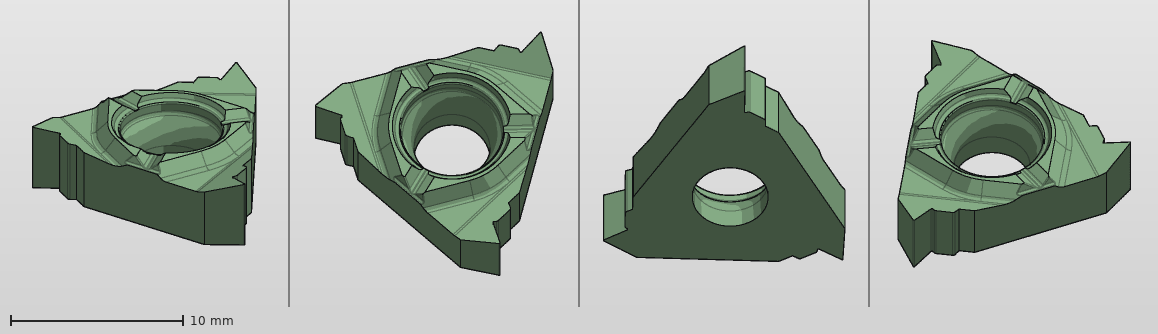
import cadquery as cq
import math


CORNERS = 3
CORNER_ANGLES = [index * 360 / CORNERS for index in range(CORNERS)]

height = 4.2
inscribed_radius = 9.525 / 2

tip_reach = 7.226
tip_x = -3.546
tip_radius = 0.05
flank_angle = 59.1
valley_reach = 5.83
valley_radius = 0.06
valley_exit_angle = 45
crest_reach = 6.03
crest_end_x = -1.363
crest_radius = 0.15
step_reach = 5.62
step_angle = 60

floor_z = 3.4
ramp_start = 4.71
ramp_angle = 15
ramp_blend_radius = 0.53
reach_beyond_body = 9.0

boss_top_radius = 3.68
boss_flank_angle = 46
boss_blend_radius = 0.45
boss_arc_start = 270
boss_arc_end = 240
boss_straight_length = 6.0

groove_direction = 315
groove_offset = -0.06
groove_floor_z = 3.75
groove_floor_width = 0.06
groove_wall_angle = 36
groove_blend_radius = 0.33
groove_inner_end = 2.9
groove_outer_end = 6.0

relief_side_angle = 300
relief_shelf_z = 3.73
relief_shelf_width = 0.08
relief_wall_angle = 60
relief_blend_radius = 0.18
relief_edge_radius = 0.08
relief_edge_min_rise = 0.2
relief_start = -1.5
relief_end = 3.2

bore_radius = 2.2
bell_radius = 2.3
bell_angle = 45
bell_bottom_z = 1.37
throat_blend_radius = 0.36
ledge_z = 3.8
throat_rim_radius = 0.08
ledge_blend_radius = 0.26
lip_angle = 60
lip_radius = 3.46


def tan(angle):
    return math.tan(math.radians(angle))


def sin(angle):
    return math.sin(math.radians(angle))


def cos(angle):
    return math.cos(math.radians(angle))


def polar(radius, angle):
    return (radius * cos(angle), radius * sin(angle))


def rotated(point, angle):
    x, y = point
    return (x * cos(angle) - y * sin(angle), x * sin(angle) + y * cos(angle))


def at_every_corner(solid):
    return [solid.rotate((0, 0, 0), (0, 0, 1), angle) for angle in CORNER_ANGLES]


def corner_vertices():
    """Sharp vertices of the -Y corner, each with the radius that rounds it."""
    half_tip_angle = 90 - flank_angle
    apex_y = -(tip_reach - tip_radius + tip_radius / sin(half_tip_angle))
    flank_start_y = apex_y + (inscribed_radius + tip_x) * tan(flank_angle)
    valley_x = tip_x + (-valley_reach - apex_y) / tan(flank_angle)
    crest_start_x = valley_x + (crest_reach - valley_reach) / tan(valley_exit_angle)
    step_x = crest_end_x + (crest_reach - step_reach) / tan(step_angle)
    side_angle = 30
    step_end_x = (inscribed_radius - step_reach * cos(side_angle)) / sin(side_angle)
    return [
        ((-inscribed_radius, flank_start_y), 0),
        ((tip_x, apex_y), tip_radius),
        ((valley_x, -valley_reach), valley_radius),
        ((crest_start_x, -crest_reach), crest_radius),
        ((crest_end_x, -crest_reach), crest_radius),
        ((step_x, -step_reach), 0),
        ((step_end_x, -step_reach), 0),
    ]


def rounded_outline(vertices):
    """Closed polygon whose vertices carry tangent arcs of the given radii."""
    path = None
    for index, (point, radius) in enumerate(vertices):
        corner = cq.Vector(*point)
        before = cq.Vector(*vertices[index - 1][0])
        after = cq.Vector(*vertices[(index + 1) % len(vertices)][0])
        to_before = (before - corner).normalized()
        to_after = (after - corner).normalized()
        if path is None:
            path = cq.Workplane("XY").moveTo(*point)
        elif radius == 0:
            path = path.lineTo(*point)
        else:
            half_angle = to_before.getAngle(to_after) / 2
            setback = radius / math.tan(half_angle)
            bisector = (to_before + to_after).normalized()
            arc_start = corner + to_before * setback
            arc_middle = corner + bisector * (radius / math.sin(half_angle) - radius)
            arc_end = corner + to_after * setback
            path = path.lineTo(arc_start.x, arc_start.y)
            path = path.threePointArc((arc_middle.x, arc_middle.y), (arc_end.x, arc_end.y))
    return path.close()


def make_body():
    vertices = []
    for angle in CORNER_ANGLES:
        vertices += [(rotated(point, angle), radius) for point, radius in corner_vertices()]
    return rounded_outline(vertices).extrude(height)


def make_corner_cutter():
    """Space above the floor and ramp of the -Y corner, outside the boss."""
    boss_foot = boss_top_radius + (height - floor_z) / tan(boss_flank_angle)
    blend_setback = boss_blend_radius * tan(boss_flank_angle / 2)
    slope_end_r = boss_foot - blend_setback * cos(boss_flank_angle)
    slope_end_z = floor_z + blend_setback * sin(boss_flank_angle)
    floor_start_r = boss_foot + blend_setback

    start = cq.Plane(origin=(boss_straight_length, 0, 0), xDir=(0, -1, 0), normal=(-1, 0, 0))
    section = (
        cq.Workplane(start)
        .moveTo(boss_top_radius, height)
        .lineTo(slope_end_r, slope_end_z)
        .radiusArc((floor_start_r, floor_z), -boss_blend_radius)
        .lineTo(reach_beyond_body, floor_z)
        .lineTo(reach_beyond_body, height)
        .close()
    )
    arc_middle = (boss_arc_start + boss_arc_end) / 2
    arc_end = polar(boss_top_radius, boss_arc_end)
    run_out = polar(boss_straight_length, boss_arc_end - 90)
    path = (
        cq.Workplane("XY", origin=(0, 0, height))
        .moveTo(boss_straight_length, -boss_top_radius)
        .lineTo(0, -boss_top_radius)
        .threePointArc(polar(boss_top_radius, arc_middle), arc_end)
        .lineTo(arc_end[0] + run_out[0], arc_end[1] + run_out[1])
    )
    return section.sweep(path).cut(make_ramp())


def make_ramp():
    """Wedge that stays under the -Y corner and lifts its tooth tip."""
    setback = ramp_blend_radius * tan(ramp_angle / 2)
    blend_end_r = ramp_start + setback * cos(ramp_angle)
    blend_end_z = floor_z + setback * sin(ramp_angle)
    far_z = floor_z + (reach_beyond_body - ramp_start) * tan(ramp_angle)
    side = cq.Plane(origin=(0, 0, 0), xDir=(0, -1, 0), normal=(-1, 0, 0))
    return (
        cq.Workplane(side)
        .moveTo(ramp_start - setback, floor_z)
        .radiusArc((blend_end_r, blend_end_z), -ramp_blend_radius)
        .lineTo(reach_beyond_body, far_z)
        .lineTo(reach_beyond_body, floor_z)
        .close()
        .extrude(reach_beyond_body, both=True)
    )


def make_groove_cutter():
    setback = groove_blend_radius * tan(groove_wall_angle / 2)
    floor_half = groove_floor_width / 2
    blend_half = floor_half + setback * (1 + cos(groove_wall_angle))
    blend_z = groove_floor_z + setback * sin(groove_wall_angle)
    top_half = floor_half + setback + (height - groove_floor_z) / tan(groove_wall_angle)
    left = polar(1, groove_direction + 90)
    start_x, start_y = polar(groove_inner_end, groove_direction)
    along = polar(1, groove_direction)
    plane = cq.Plane(
        origin=(start_x + groove_offset * left[0], start_y + groove_offset * left[1], 0),
        xDir=(left[0], left[1], 0),
        normal=(along[0], along[1], 0),
    )
    return (
        cq.Workplane(plane)
        .moveTo(-floor_half, groove_floor_z)
        .lineTo(floor_half, groove_floor_z)
        .radiusArc((blend_half, blend_z), -groove_blend_radius)
        .lineTo(top_half, height)
        .lineTo(-top_half, height)
        .lineTo(-blend_half, blend_z)
        .radiusArc((-floor_half, groove_floor_z), -groove_blend_radius)
        .close()
        .extrude(groove_outer_end - groove_inner_end)
    )


def make_relief_cutter():
    """Shelf with a blended sloping wall; x of the section runs inward from the side."""
    setback = relief_blend_radius * tan(relief_wall_angle / 2)
    wall_foot = relief_shelf_width + setback
    blend_end = (
        wall_foot + setback * cos(relief_wall_angle),
        relief_shelf_z + setback * sin(relief_wall_angle),
    )
    wall_top = wall_foot + (height - relief_shelf_z) / tan(relief_wall_angle)
    outward = polar(1, relief_side_angle)
    along = polar(1, relief_side_angle + 90)
    plane = cq.Plane(
        origin=(
            inscribed_radius * outward[0] + relief_start * along[0],
            inscribed_radius * outward[1] + relief_start * along[1],
            0,
        ),
        xDir=(-outward[0], -outward[1], 0),
        normal=(along[0], along[1], 0),
    )
    return (
        cq.Workplane(plane)
        .moveTo(0, relief_shelf_z)
        .lineTo(relief_shelf_width, relief_shelf_z)
        .radiusArc(blend_end, -relief_blend_radius)
        .lineTo(wall_top, height)
        .lineTo(0, height)
        .close()
        .extrude(relief_end - relief_start)
    )


def make_hole_cutter():
    """Bore, bell mouth, short throat, ledge and conical lip."""
    bell_top_r = bore_radius + bell_radius * (1 - cos(bell_angle))
    bell_top_z = bell_bottom_z + bell_radius * sin(bell_angle)
    throat_radius = bell_top_r + throat_blend_radius * (1 - cos(bell_angle))
    throat_z = bell_top_z + throat_blend_radius * sin(bell_angle)
    lip_foot_z = ledge_z + ledge_blend_radius * (1 - cos(lip_angle))
    lip_foot_r = lip_radius - (height - lip_foot_z) / tan(lip_angle)
    ledge_end_r = lip_foot_r - ledge_blend_radius * sin(lip_angle)
    return (
        cq.Workplane("XZ")
        .lineTo(bore_radius, 0)
        .lineTo(bore_radius, bell_bottom_z)
        .radiusArc((bell_top_r, bell_top_z), bell_radius)
        .radiusArc((throat_radius, throat_z), -throat_blend_radius)
        .lineTo(throat_radius, ledge_z - throat_rim_radius)
        .radiusArc((throat_radius + throat_rim_radius, ledge_z), throat_rim_radius)
        .lineTo(ledge_end_r, ledge_z)
        .radiusArc((lip_foot_r, lip_foot_z), -ledge_blend_radius)
        .lineTo(lip_radius, height)
        .lineTo(0, height)
        .close()
        .revolve(360, (0, 0, 0), (0, 1, 0))
    )


def relief_wall_edges(part):
    """Rising edges of the sloping relief walls, where grooves and boss flanks meet them."""
    outward_x, outward_y = polar(sin(relief_wall_angle), relief_side_angle)
    edges = []
    for angle in CORNER_ANGLES:
        wall_x, wall_y = rotated((outward_x, outward_y), angle)
        wall_normal = cq.Vector(wall_x, wall_y, cos(relief_wall_angle))
        for edge in part.faces(cq.ParallelDirSelector(wall_normal)).edges().vals():
            if edge.BoundingBox().zlen > relief_edge_min_rise:
                edges.append(edge)
    return edges


result = make_body()
for feature in (make_corner_cutter(), make_relief_cutter(), make_groove_cutter()):
    for cutter in at_every_corner(feature):
        result = result.cut(cutter)
result = result.newObject(relief_wall_edges(result)).fillet(relief_edge_radius)
result = result.cut(make_hole_cutter())